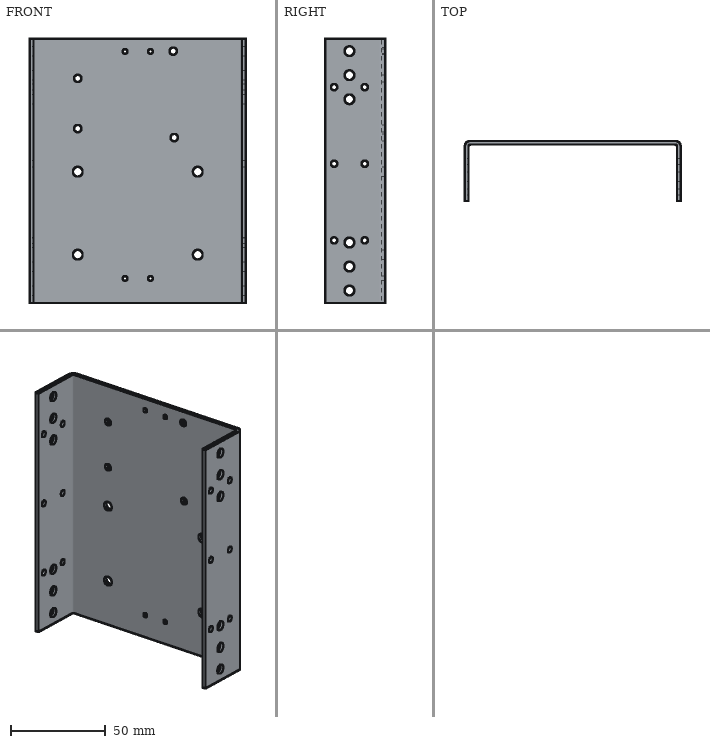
import cadquery as cq

height = 139.7
width = 114.3
depth = 31.9
thickness = 2.1
outer_bend_radius = 3.1
inner_bend_radius = outer_bend_radius - thickness

mount_diameter = 5.0
mount_spacing_x = 63.4
mount_spacing_z = 43.9
mount_top_z = -0.4
screw_diameter = 3.8
screw_left_z = (48.9, 22.4)
screw_right_points = [(18.7, 63.3), (19.3, 17.6)]
pilot_diameter = 2.4
pilot_spacing_x = 13.4
pilot_rows_z = (63.1, -56.9)

hole_line_from_back = 19.0
flange_hole_y = depth / 2 - hole_line_from_back
flange_mount_diameter = 5.0
flange_mount_pitch = 12.7
flange_mount_outer_z = 63.3
flange_mounts_per_end = 3
flange_screw_diameter = 3.2
flange_screw_spacing_y = 16.2
flange_screw_pitch_z = 40.5
flange_screw_middle_z = 3.8


def make_channel():
    """Bent sheet: a rounded outer block less a rounded inner block."""
    outer = cq.Workplane("XY").box(width, depth, height).edges("|Z and >Y").fillet(outer_bend_radius)
    inner = (
        cq.Workplane("XY")
        .box(width - 2 * thickness, depth, height)
        .edges("|Z and >Y")
        .fillet(inner_bend_radius)
        .translate((0, -thickness, 0))
    )
    return outer.cut(inner)


def web_holes(points, diameter):
    """Cylinders along Y through the web only, at (x, z) points."""
    web_front = depth / 2 - thickness
    return (
        cq.Workplane("XZ", origin=(0, web_front, 0))
        .pushPoints(points)
        .circle(diameter / 2)
        .extrude(-thickness)
    )


def flange_holes(points, diameter):
    """Cylinders along X through both flanges, at (y, z) points."""
    return cq.Workplane("YZ").pushPoints(points).circle(diameter / 2).extrude(width / 2, both=True)


mount_x = mount_spacing_x / 2
mount_points = [(x, z) for x in (-mount_x, mount_x) for z in (mount_top_z, mount_top_z - mount_spacing_z)]
screw_points = [(-mount_x, z) for z in screw_left_z] + screw_right_points
pilot_points = [(side * pilot_spacing_x / 2, z) for side in (-1, 1) for z in pilot_rows_z]

flange_mount_points = [
    (flange_hole_y, end * (flange_mount_outer_z - i * flange_mount_pitch))
    for end in (-1, 1)
    for i in range(flange_mounts_per_end)
]
flange_screw_points = [
    (flange_hole_y + side * flange_screw_spacing_y / 2, flange_screw_middle_z + row * flange_screw_pitch_z)
    for side in (-1, 1)
    for row in (-1, 0, 1)
]

result = (
    make_channel()
    .cut(web_holes(mount_points, mount_diameter))
    .cut(web_holes(screw_points, screw_diameter))
    .cut(web_holes(pilot_points, pilot_diameter))
    .cut(flange_holes(flange_mount_points, flange_mount_diameter))
    .cut(flange_holes(flange_screw_points, flange_screw_diameter))
)